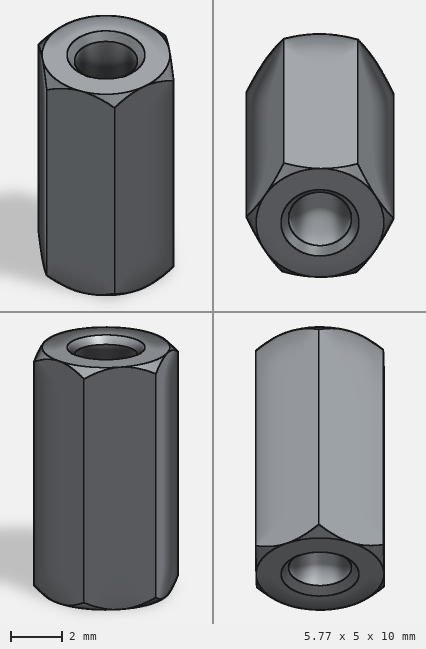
import cadquery as cq
import math

LENGTH = 10.0
ACROSS_FLATS = 5.0
BORE_DIAMETER = 2.46
COUNTERSINK_DIAMETER = 3.05
CORNER_CHAMFER_ANGLE = 45.0
COUNTERSINK_ANGLE = 90.0

ACROSS_CORNERS = ACROSS_FLATS / math.cos(math.radians(30))
face_radius = ACROSS_FLATS / 2
corner_radius = ACROSS_CORNERS / 2
chamfer_height = (corner_radius - face_radius) * math.tan(math.radians(CORNER_CHAMFER_ANGLE))
bore_radius = BORE_DIAMETER / 2
countersink_radius = COUNTERSINK_DIAMETER / 2
countersink_depth = (countersink_radius - bore_radius) / math.tan(math.radians(COUNTERSINK_ANGLE / 2))


def hex_bar():
    """Hexagonal bar along Z with two corners on the X axis."""
    return cq.Workplane("XY").polygon(6, ACROSS_CORNERS).extrude(LENGTH)


def turned_envelope():
    """Round body with coned ends that trims the corners of the hexagon."""
    return (
        cq.Workplane("XZ")
        .moveTo(0, 0)
        .lineTo(face_radius, 0)
        .lineTo(corner_radius, chamfer_height)
        .lineTo(corner_radius, LENGTH - chamfer_height)
        .lineTo(face_radius, LENGTH)
        .lineTo(0, LENGTH)
        .close()
        .revolve(360, (0, 0, 0), (0, 1, 0))
    )


def countersunk_bore():
    """Through bore widened by a conical lead-in at each end."""
    return (
        cq.Workplane("XZ")
        .moveTo(0, 0)
        .lineTo(countersink_radius, 0)
        .lineTo(bore_radius, countersink_depth)
        .lineTo(bore_radius, LENGTH - countersink_depth)
        .lineTo(countersink_radius, LENGTH)
        .lineTo(0, LENGTH)
        .close()
        .revolve(360, (0, 0, 0), (0, 1, 0))
    )


result = hex_bar().intersect(turned_envelope()).cut(countersunk_bore())